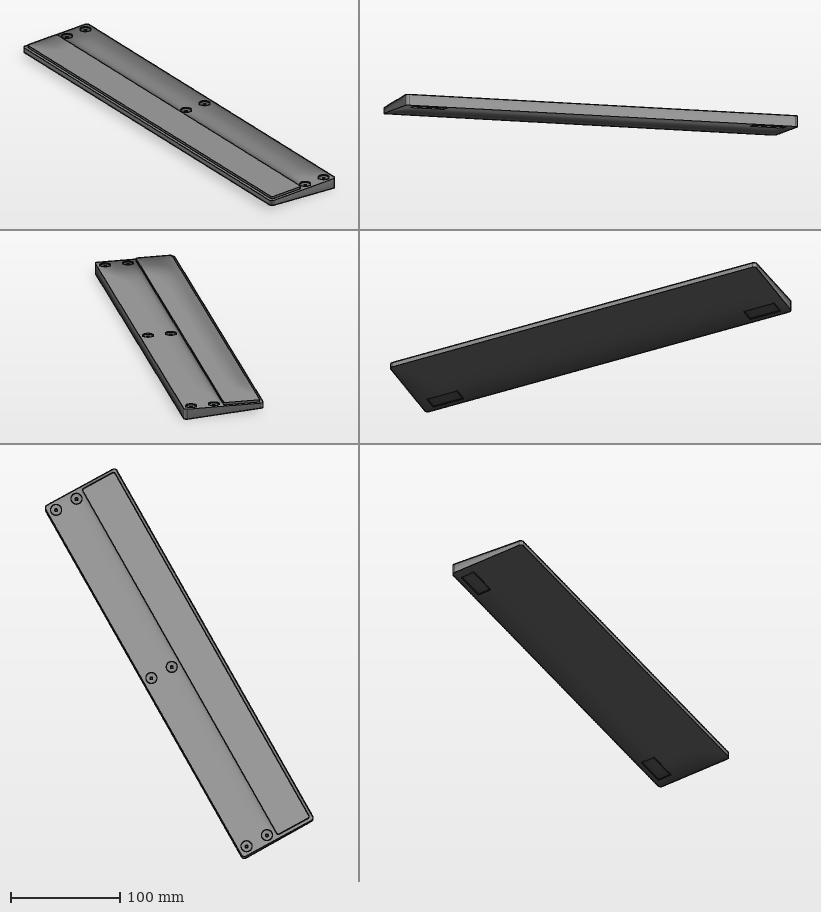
import cadquery as cq

length = 375.5
width = 74.7
total_height = 12.5
pad_thickness = 2.3
front_thickness = 5.0
corner_radius = 3.0
plate_top = total_height - pad_thickness
front_bottom = plate_top - front_thickness

pad_margin = 3.0
pad_width = 33.8
pad_corner_radius = 2.0

hole_diameter = 2.5
counterbore_diameter = 10.0
counterbore_depth = 1.0
hole_pitch_x = 180.0
hole_rows_y = (8.0, 29.3)
hole_depth = 3.8

foot_length = 30.8
foot_width = 13.0
foot_depth = 1.0
foot_end_margin = 9.8
foot_rear_margin = 4.5


def underside_cutter(depth):
    """Solid filling everything below the sloping underside moved up by depth."""
    rear = width / 2
    return (
        cq.Workplane("YZ")
        .moveTo(rear, -total_height)
        .lineTo(rear, depth)
        .lineTo(-rear, front_bottom + depth)
        .lineTo(-rear, -total_height)
        .close()
        .extrude(length / 2, both=True)
    )


def make_plate():
    block = (
        cq.Workplane("XY")
        .rect(length, width)
        .extrude(plate_top)
        .edges("|Z")
        .fillet(corner_radius)
    )
    return block.cut(underside_cutter(0))


def make_pad():
    center_y = -width / 2 + pad_margin + pad_width / 2
    return (
        cq.Workplane("XY", origin=(0, center_y, plate_top))
        .rect(length - 2 * pad_margin, pad_width)
        .extrude(pad_thickness)
        .edges("|Z")
        .fillet(pad_corner_radius)
    )


def cut_screw_holes(body):
    centers = [(column * hole_pitch_x, y) for column in (-1, 0, 1) for y in hole_rows_y]
    return (
        body.copyWorkplane(cq.Workplane("XY", origin=(0, 0, plate_top)))
        .pushPoints(centers)
        .cboreHole(hole_diameter, counterbore_diameter, counterbore_depth, depth=hole_depth)
    )


def cut_foot_recesses(body):
    center_x = length / 2 - foot_end_margin - foot_length / 2
    center_y = width / 2 - foot_rear_margin - foot_width / 2
    columns = (
        cq.Workplane("XY")
        .pushPoints([(-center_x, center_y), (center_x, center_y)])
        .rect(foot_length, foot_width)
        .extrude(plate_top)
    )
    return body.cut(columns.intersect(underside_cutter(foot_depth)))


plate = cut_foot_recesses(cut_screw_holes(make_plate()))
result = plate.union(make_pad())